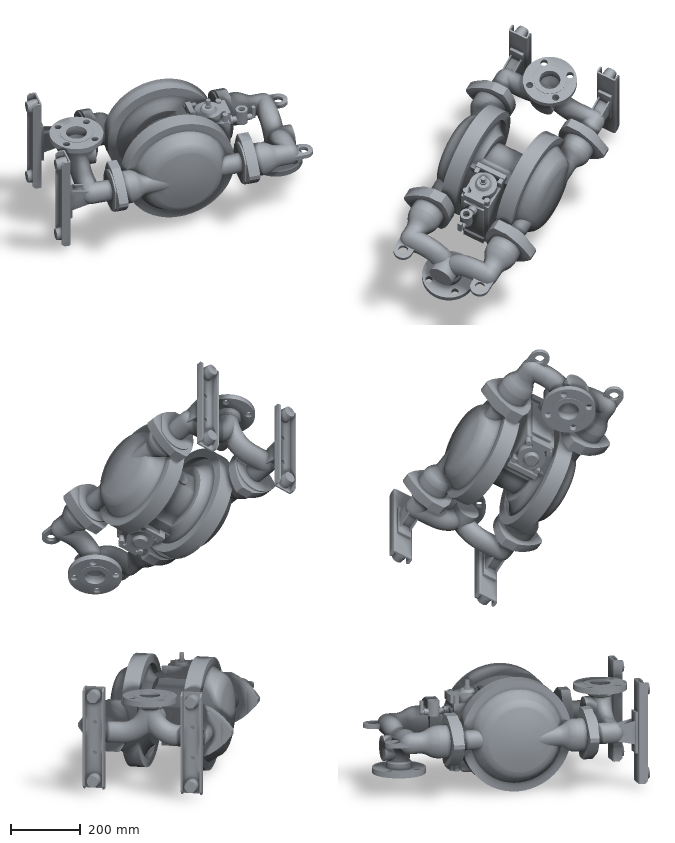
import cadquery as cq
import math


CHAMBER_R = 163.13
RIM_INNER_X = 66.0
RIM_OUTER_X = 113.7
DOME_BASE_R = 137.5
DOME_SHOULDER_R = 116.0
DOME_SHOULDER_X = 148.3
DOME_CAP_R = 95.0
DOME_CAP_X = 162.8
DOME_TIP_X = 176.8
DOME_ROUNDING = 1.4
BACK_R = 112.0
BACK_GROOVE_R = 137.0
BACK_GROOVE_X = 82.0
BACK_NECK_R = 97.0
BODY_HALF_X = 46.6

BODY_R = 74.3
BODY_FLAT_Y = -67.8
BODY_SIDE_Y = 32.0
PLATE_Y0 = 61.7
PLATE_Y1 = 75.8
PLATE_HALF_Z = 94.0
BODY_SIDE_Z = 90.0
PLATE_BOSS_Z = 116.3
PLUG_R = 20.6
PLUG_HEIGHT = 6.0
PLATE_POCKET = (58.0, 18.0, 6.0)
PLATE_POCKET_Z = 99.0

PIPE_R = 29.0
LEG_R = 30.5
INLET_LEG_X = 144.0
OUTLET_LEG_X = 125.4
INLET_Y = -277.0
OUTLET_Y = 319.0
INLET_PIPE_END_Y = -20.0
OUTLET_PIPE_END_Y = 60.0
BEND_R = 85.0
PORT_FLANGE_R = 77.5
PORT_FLANGE_Z0 = 97.0
PORT_FLANGE_Z1 = 113.3
PORT_FACE_R = 46.5
PORT_FACE_Z = 115.0
PORT_NECK_R = 37.0
PORT_NECK_Z = 77.0
PORT_NECK_CHAMFER = 5.0
PORT_BORE_R = 30.0
PORT_BORE_Z = 85.0
PORT_CONE_Z = 67.0
BOLT_CIRCLE_R = 60.2
BOLT_HOLE_R = 10.3
BOLT_COUNT = 4
SIDE_PORT_R = 36.5
SIDE_PORT_Z = 39.5
SIDE_PORT_LENGTH = 49.7

BELL_R = 47.5
BELL_MID_R = 37.0
BELL_STRAIGHT = 30.5
BELL_ROUNDING = 3.2
THROAT_ROUNDING = 1.2
INLET_BELL = (53.0, 70.5)
OUTLET_BELL = (59.0, 79.0)

INLET_CLAMP_X = 151.75
OUTLET_CLAMP_X = 133.4
INLET_CLAMP_Y = (-216.0, -188.2)
OUTLET_CLAMP_Y = (178.5, 210.8)
CLAMP_OUT = 74.0
CLAMP_HALF_Z = 73.5
CLAMP_TIP_HALF_Z = 6.0
CLAMP_TOP_OUT = -8.0
CLAMP_TOP_IN = -47.0
CLAMP_BULGE_OUT = 25.0
CLAMP_BULGE_Z = 55.5
GASKET_R = 61.0
GASKET_FLAT_OUT = 53.6
GASKET_THICKNESS = 4.6

LUG_Y = 364.0
LUG_R = 27.5
LUG_HOLE_R = 14.0
LUG_THICKNESS = 12.0

PAD_Y1 = -337.5
PAD_Y0 = -346.0
PAD_HALF_X = 21.0
PAD_HALF_Z = 60.0
BRACKET_TOP_Y = -288.0
BRACKET_TOP_HALF_Z = 23.0
BRACKET_FOOT_HALF_Z = 34.0
RIB_OUT_X = 18.5
RIB_THICKNESS = 4.5
BRACKET_WEB_HALF_Z = 18.0
RAIL_DEPTH = 27.0
RAIL_HALF_X = 30.6
RAIL_HALF_Z = 149.0
RAIL_WALL = 4.7
RAIL_CHAMFER = 8.5
RAIL_HOLE_R = 6.0
RAIL_HOLE_Z = 44.6
BUFFER_Z = 124.0
BUFFER_R = 19.5
BUFFER_TIP_R = 16.5
BUFFER_TAPER_Y = -362.0
BUFFER_END_Y = -382.2

VALVE_Y = 117.0
VALVE_HALF_X = 44.5
VALVE_CORE_HALF_X = 32.0
VALVE_CORE_Y = 175.0
VALVE_CORE_HALF_Z = 72.0
VALVE_WAIST_Y = 168.0
VALVE_WAIST_HALF_Z = 88.0
VALVE_POST_Y = 92.0
VALVE_END_Z = 111.5
VALVE_COVER_R = 39.5
VALVE_BOLT_R = 8.0
VALVE_BOLT_X = 35.0
VALVE_BOLT_Y = 158.0
VALVE_BRIDGE_Y = 162.0
VALVE_TAB_HALF_X = 19.0
VALVE_TAB_Y = 146.0
HUB_R0 = 24.0
HUB_R1 = 18.0
HUB_Z = 121.0
COLLAR_R = 9.0
COLLAR_Z = 127.5
PIN_R = 6.6
PIN_Z = 146.5

AIR_Z = 60.0
AIR_NECK_R0 = 14.0
AIR_NECK_R1 = 9.5
AIR_NECK_STEP_Y = 188.0
AIR_TUBE_Y = 217.0
AIR_TUBE_R = 17.5
AIR_TUBE_BORE_R = 10.0
AIR_TUBE_Z0 = 48.0
AIR_TUBE_Z1 = 92.5
AIR_TUBE_BORE_DEPTH = 25.0
COCK_R = 9.0
COCK_Y = 246.0
COCK_TIP_R = 6.5
COCK_TIP_Y = 257.0
LEVER_WIDTH = 12.0
LEVER_Y0 = 248.0
LEVER_Z1 = 92.5


def box(x, y, z):
    """Box from (low, high) pairs along X, Y and Z."""
    size = [high - low for low, high in (x, y, z)]
    return cq.Workplane("XY").box(*size, centered=False).translate((x[0], y[0], z[0]))


def cylinder_y(radius, x, z, y0, y1):
    return cq.Workplane("XZ", origin=(x, y0, z)).circle(radius).extrude(-(y1 - y0))


def cylinder_z(radius, x, y, z0, z1):
    return cq.Workplane("XY", origin=(x, y, z0)).circle(radius).extrude(z1 - z0)


def chamber():
    """One diaphragm chamber at +X: domed cover, flange rim and flared back inside the rim."""
    mid_x = (DOME_SHOULDER_X + DOME_CAP_X) / 2
    mid_r = (DOME_SHOULDER_R + DOME_CAP_R) / 2
    shoulder_mid = (mid_x + DOME_ROUNDING, mid_r + DOME_ROUNDING)
    rise = DOME_TIP_X - DOME_CAP_X
    cap_sphere_r = (DOME_CAP_R**2 + rise**2) / (2 * rise)
    half_r = DOME_CAP_R / 2
    cap_mid_x = DOME_TIP_X - cap_sphere_r + math.sqrt(cap_sphere_r**2 - half_r**2)
    return (
        cq.Workplane("XY")
        .moveTo(BODY_HALF_X, 0)
        .lineTo(BODY_HALF_X, BACK_NECK_R)
        .threePointArc((RIM_INNER_X, BACK_R), (BACK_GROOVE_X, BACK_GROOVE_R))
        .lineTo(RIM_INNER_X, BACK_GROOVE_R)
        .lineTo(RIM_INNER_X, CHAMBER_R)
        .lineTo(RIM_OUTER_X, CHAMBER_R)
        .lineTo(RIM_OUTER_X, DOME_BASE_R)
        .lineTo(DOME_SHOULDER_X, DOME_SHOULDER_R)
        .threePointArc(shoulder_mid, (DOME_CAP_X, DOME_CAP_R))
        .threePointArc((cap_mid_x, half_r), (DOME_TIP_X, 0))
        .close()
        .revolve(360, (0, 0, 0), (1, 0, 0))
    )


def bell(x, y, lengths, end_r):
    """Bell narrowing toward +Y from a clamp flange at y to a pipe of radius end_r."""
    shoulder, length = lengths
    shoulder_mid = (BELL_R - BELL_ROUNDING, y + (BELL_STRAIGHT + shoulder) / 2)
    throat_mid = ((BELL_MID_R + end_r) / 2 - THROAT_ROUNDING, y + (shoulder + length) / 2)
    return (
        cq.Workplane("XY")
        .moveTo(0, y)
        .lineTo(BELL_R, y)
        .lineTo(BELL_R, y + BELL_STRAIGHT)
        .threePointArc(shoulder_mid, (BELL_MID_R, y + shoulder))
        .threePointArc(throat_mid, (end_r, y + length))
        .lineTo(0, y + length)
        .close()
        .revolve(360, (0, 0, 0), (0, 1, 0))
        .translate((x, 0, 0))
    )


def clamp_flange(x, y_span):
    """Clamp flange at +X: blunt outward nose, short flat top and rounded inner side."""
    y0, y1 = y_span
    return (
        cq.Workplane("XZ", origin=(x, y0, 0))
        .moveTo(CLAMP_OUT, -CLAMP_TIP_HALF_Z)
        .lineTo(CLAMP_OUT, CLAMP_TIP_HALF_Z)
        .threePointArc((CLAMP_BULGE_OUT, CLAMP_BULGE_Z), (CLAMP_TOP_OUT, CLAMP_HALF_Z))
        .lineTo(CLAMP_TOP_IN, CLAMP_HALF_Z)
        .threePointArc((-CLAMP_OUT, 0), (CLAMP_TOP_IN, -CLAMP_HALF_Z))
        .lineTo(CLAMP_TOP_OUT, -CLAMP_HALF_Z)
        .threePointArc((CLAMP_BULGE_OUT, -CLAMP_BULGE_Z), (CLAMP_OUT, -CLAMP_TIP_HALF_Z))
        .close()
        .extrude(-(y1 - y0))
    )


def gasket(x, y1):
    """Thin round plate with an outer flat, on the -Y face of a clamp flange."""
    y0 = y1 - GASKET_THICKNESS
    plate = cylinder_y(GASKET_R, x, 0, y0, y1)
    return plate.intersect(box((x - GASKET_R, x + GASKET_FLAT_OUT), (y0, y1), (-GASKET_R, GASKET_R)))


def outlet_leg():
    x = OUTLET_LEG_X
    bell_y = OUTLET_CLAMP_Y[1]
    leg = cylinder_y(PIPE_R, x, 0, OUTLET_PIPE_END_Y, OUTLET_CLAMP_Y[1])
    leg = leg.union(clamp_flange(OUTLET_CLAMP_X, OUTLET_CLAMP_Y))
    leg = leg.union(gasket(x, OUTLET_CLAMP_Y[0]))
    leg = leg.union(bell(x, bell_y, OUTLET_BELL, LEG_R))
    return leg.union(cylinder_y(LEG_R, x, 0, bell_y, OUTLET_Y))


def inlet_leg():
    x = INLET_LEG_X
    bell_y = INLET_CLAMP_Y[1]
    leg = cylinder_y(PIPE_R, x, 0, bell_y, INLET_PIPE_END_Y)
    leg = leg.union(clamp_flange(INLET_CLAMP_X, INLET_CLAMP_Y))
    leg = leg.union(bell(x, bell_y, INLET_BELL, PIPE_R))
    leg = leg.union(gasket(x, INLET_CLAMP_Y[0]))
    return leg.union(cylinder_y(LEG_R, x, 0, INLET_Y, INLET_CLAMP_Y[0]))


def manifold_arm(leg_x, y, z_side):
    """Pipe from a ball corner on a leg to a bend that ends at X = 0 facing z_side."""
    arm = cq.Workplane("YZ", origin=(BEND_R, 0, 0)).circle(LEG_R).extrude(leg_x - BEND_R)
    bend = cq.Workplane("YZ", origin=(BEND_R, 0, 0)).circle(LEG_R)
    bend = bend.revolve(90, (0, BEND_R, 0), (1, BEND_R, 0))
    bend = bend.intersect(box((0, BEND_R), (-LEG_R, LEG_R), (-LEG_R, BEND_R)))
    corner = cq.Workplane("XY").sphere(LEG_R).translate((leg_x, 0, 0))
    arm = arm.union(bend).union(corner)
    if z_side < 0:
        arm = arm.mirror("XY")
    return arm.translate((0, y, 0))


def port(y, z_side):
    """Flanged port of a manifold, facing z_side, with its plugged side port."""
    profile = [
        (0, PORT_NECK_Z),
        (PORT_NECK_R - PORT_NECK_CHAMFER, PORT_NECK_Z),
        (PORT_NECK_R, PORT_NECK_Z + PORT_NECK_CHAMFER),
        (PORT_NECK_R, PORT_FLANGE_Z0),
        (PORT_FLANGE_R, PORT_FLANGE_Z0),
        (PORT_FLANGE_R, PORT_FLANGE_Z1),
        (PORT_FACE_R, PORT_FLANGE_Z1),
        (PORT_FACE_R, PORT_FACE_Z),
        (0, PORT_FACE_Z),
    ]
    flange = cq.Workplane("XZ").polyline(profile).close().revolve(360, (0, 0, 0), (0, 1, 0))
    hole_angle = 360 / BOLT_COUNT
    for i in range(BOLT_COUNT):
        angle = math.radians(hole_angle * (i + 0.5))
        x = BOLT_CIRCLE_R * math.cos(angle)
        flange = flange.cut(
            cylinder_z(BOLT_HOLE_R, x, BOLT_CIRCLE_R * math.sin(angle), PORT_FLANGE_Z0, PORT_FACE_Z)
        )
    if z_side < 0:
        flange = flange.mirror("XY")
    side_port = cylinder_y(SIDE_PORT_R, 0, z_side * SIDE_PORT_Z, y, y + SIDE_PORT_LENGTH)
    return flange.translate((0, y, 0)).union(side_port)


def port_bore(y, z_side):
    """Blind bore with a conical end."""
    profile = [(0, PORT_CONE_Z), (PORT_BORE_R, PORT_BORE_Z), (PORT_BORE_R, PORT_FACE_Z), (0, PORT_FACE_Z)]
    bore = cq.Workplane("XZ").polyline(profile).close().revolve(360, (0, 0, 0), (0, 1, 0))
    if z_side < 0:
        bore = bore.mirror("XY")
    return bore.translate((0, y, 0))


def lifting_lug():
    x = OUTLET_LEG_X
    half = LUG_THICKNESS / 2
    lug = box((x - LUG_R, x + LUG_R), (OUTLET_Y, LUG_Y), (-half, half))
    lug = lug.union(cylinder_z(LUG_R, x, LUG_Y, -half, half))
    return lug.cut(cylinder_z(LUG_HOLE_R, x, LUG_Y, -half, half))


def foot_bracket():
    """Two tapered ribs joined by a web, standing on a pad."""
    x = INLET_LEG_X
    outline = [
        (BRACKET_TOP_Y, BRACKET_TOP_HALF_Z),
        (PAD_Y1, BRACKET_FOOT_HALF_Z),
        (PAD_Y1, -BRACKET_FOOT_HALF_Z),
        (BRACKET_TOP_Y, -BRACKET_TOP_HALF_Z),
    ]
    bracket = box((x - PAD_HALF_X, x + PAD_HALF_X), (PAD_Y0, PAD_Y1), (-PAD_HALF_Z, PAD_HALF_Z))
    for rib_x in (x - RIB_OUT_X, x + RIB_OUT_X - RIB_THICKNESS):
        rib = cq.Workplane("YZ", origin=(rib_x, 0, 0)).polyline(outline).close().extrude(RIB_THICKNESS)
        bracket = bracket.union(rib)
    web_z = (-BRACKET_WEB_HALF_Z, BRACKET_WEB_HALF_Z)
    return bracket.union(box((x - RIB_OUT_X, x + RIB_OUT_X), (PAD_Y1, BRACKET_TOP_Y), web_z))


def foot_rail():
    """Channel open toward -Y, with chamfered side walls and two fixing holes."""
    x = INLET_LEG_X
    end_y = PAD_Y0 - RAIL_DEPTH
    rail = box((x - RAIL_HALF_X, x + RAIL_HALF_X), (end_y, PAD_Y0), (-RAIL_HALF_Z, RAIL_HALF_Z))
    rail = rail.faces("<Y").edges("|X").chamfer(RAIL_CHAMFER)
    rail = rail.faces(">Y").edges("|Z").fillet(RAIL_WALL)
    inner = RAIL_HALF_X - RAIL_WALL
    rail = rail.cut(box((x - inner, x + inner), (end_y, PAD_Y0 - RAIL_WALL), (-RAIL_HALF_Z, RAIL_HALF_Z)))
    for z in (-RAIL_HOLE_Z, RAIL_HOLE_Z):
        rail = rail.cut(cylinder_y(RAIL_HOLE_R, x, z, PAD_Y0 - RAIL_WALL, PAD_Y0))
    return rail


def foot_buffer(z):
    """Rubber buffer: a short cylinder with a tapered end."""
    profile = [
        (0, PAD_Y0 - RAIL_WALL),
        (BUFFER_R, PAD_Y0 - RAIL_WALL),
        (BUFFER_R, BUFFER_TAPER_Y),
        (BUFFER_TIP_R, BUFFER_END_Y),
        (0, BUFFER_END_Y),
    ]
    buffer = cq.Workplane("XY").polyline(profile).close().revolve(360, (0, 0, 0), (0, 1, 0))
    return buffer.translate((INLET_LEG_X, 0, z))


def centre_body():
    """Rounded body between the chambers, widening into the air valve plate."""
    flat_z = math.sqrt(BODY_R**2 - BODY_FLAT_Y**2)
    side_rise = BODY_SIDE_Z - BODY_R
    side_arc_r = (BODY_SIDE_Y**2 + side_rise**2) / (2 * side_rise)
    side_mid_y = BODY_SIDE_Y / 2
    side_mid_z = BODY_R + side_arc_r - math.sqrt(side_arc_r**2 - side_mid_y**2)
    mid_angle = math.atan2(BODY_FLAT_Y, flat_z) / 2
    arc_mid = (BODY_R * math.sin(mid_angle), BODY_R * math.cos(mid_angle))
    half = (
        cq.Workplane("YZ", origin=(-RIM_INNER_X, 0, 0))
        .moveTo(BODY_FLAT_Y, 0)
        .lineTo(BODY_FLAT_Y, flat_z)
        .threePointArc(arc_mid, (0, BODY_R))
        .threePointArc((side_mid_y, side_mid_z), (BODY_SIDE_Y, BODY_SIDE_Z))
        .lineTo(PLATE_Y1, BODY_SIDE_Z)
        .lineTo(PLATE_Y1, 0)
        .close()
        .extrude(2 * RIM_INNER_X)
    )
    body = half.union(half.mirror("XY"))
    plate_y = (PLATE_Y0, PLATE_Y1)
    body = body.union(box((-RIM_INNER_X, RIM_INNER_X), plate_y, (-PLATE_HALF_Z, PLATE_HALF_Z)))
    body = body.union(box((-BODY_HALF_X, BODY_HALF_X), plate_y, (-PLATE_BOSS_Z, PLATE_BOSS_Z)))
    pocket_x, pocket_z, pocket_depth = PLATE_POCKET
    for z in (-PLATE_POCKET_Z, PLATE_POCKET_Z):
        span_z = (z - pocket_z / 2, z + pocket_z / 2)
        span_x = (-pocket_x / 2, pocket_x / 2)
        body = body.cut(box(span_x, (PLATE_Y0, PLATE_Y0 + pocket_depth), span_z))
    return body.union(cylinder_y(PLUG_R, 0, 0, BODY_FLAT_Y - PLUG_HEIGHT, BODY_FLAT_Y))


def valve_end():
    """Upper end of the air valve: bolts, corner posts, round cover and conical hub."""
    low = VALVE_WAIST_HALF_Z
    top = (low, VALVE_END_Z)
    end = cylinder_z(VALVE_COVER_R, 0, VALVE_Y, low, VALVE_END_Z)
    for x in ((-VALVE_HALF_X, -VALVE_CORE_HALF_X), (VALVE_CORE_HALF_X, VALVE_HALF_X)):
        end = end.union(box(x, (PLATE_Y1, VALVE_POST_Y), top))
    core_x = (-VALVE_CORE_HALF_X, VALVE_CORE_HALF_X)
    end = end.union(box(core_x, (VALVE_BRIDGE_Y, VALVE_CORE_Y), top))
    tab_x = (-VALVE_TAB_HALF_X, VALVE_TAB_HALF_X)
    end = end.union(box(tab_x, (VALVE_TAB_Y, VALVE_CORE_Y), top))
    for x in (-VALVE_BOLT_X, VALVE_BOLT_X):
        end = end.union(cylinder_z(VALVE_BOLT_R, x, VALVE_BOLT_Y, low, VALVE_END_Z))
    hub = (
        cq.Workplane("XZ")
        .polyline([(0, low), (HUB_R0, low), (HUB_R0, VALVE_END_Z), (HUB_R1, HUB_Z), (0, HUB_Z)])
        .close()
        .revolve(360, (0, 0, 0), (0, 1, 0))
        .translate((0, VALVE_Y, 0))
    )
    return end.union(hub)


def air_valve():
    core_x = (-VALVE_CORE_HALF_X, VALVE_CORE_HALF_X)
    core_z = (-VALVE_CORE_HALF_Z, VALVE_CORE_HALF_Z)
    valve = box(core_x, (PLATE_Y1, VALVE_CORE_Y), core_z)
    waist_x = (-VALVE_HALF_X, VALVE_HALF_X)
    waist_z = (-VALVE_WAIST_HALF_Z, VALVE_WAIST_HALF_Z)
    valve = valve.union(box(waist_x, (PLATE_Y1, VALVE_WAIST_Y), waist_z))
    end = valve_end()
    valve = valve.union(end).union(end.mirror("XY"))
    valve = valve.union(cylinder_z(COLLAR_R, 0, VALVE_Y, VALVE_END_Z, COLLAR_Z))
    return valve.union(cylinder_z(PIN_R, 0, VALVE_Y, VALVE_END_Z, PIN_Z))


def air_inlet():
    """Elbow on the air valve with an open upright tube and a small lever cock."""
    inlet = cylinder_y(AIR_NECK_R0, 0, AIR_Z, VALVE_WAIST_Y, AIR_NECK_STEP_Y)
    inlet = inlet.union(cylinder_y(AIR_NECK_R1, 0, AIR_Z, AIR_NECK_STEP_Y, AIR_TUBE_Y))
    inlet = inlet.union(cylinder_z(AIR_TUBE_R, 0, AIR_TUBE_Y, AIR_TUBE_Z0, AIR_TUBE_Z1))
    inlet = inlet.union(cylinder_y(COCK_R, 0, AIR_Z, AIR_TUBE_Y, COCK_Y))
    inlet = inlet.union(cylinder_y(COCK_TIP_R, 0, AIR_Z, AIR_TUBE_Y, COCK_TIP_Y))
    lever_x = (-LEVER_WIDTH / 2, LEVER_WIDTH / 2)
    inlet = inlet.union(box(lever_x, (LEVER_Y0, COCK_TIP_Y), (AIR_Z, LEVER_Z1)))
    bore_z0 = AIR_TUBE_Z1 - AIR_TUBE_BORE_DEPTH
    return inlet.cut(cylinder_z(AIR_TUBE_BORE_R, 0, AIR_TUBE_Y, bore_z0, AIR_TUBE_Z1))


def side_assembly():
    """Everything at +X that repeats mirrored at -X."""
    side = chamber().union(outlet_leg()).union(inlet_leg())
    side = side.union(manifold_arm(OUTLET_LEG_X, OUTLET_Y, -1))
    side = side.union(manifold_arm(INLET_LEG_X, INLET_Y, 1))
    side = side.union(lifting_lug()).union(foot_bracket()).union(foot_rail())
    for z in (-BUFFER_Z, BUFFER_Z):
        side = side.union(foot_buffer(z))
    return side


right_side = side_assembly()
pump = centre_body().union(air_valve()).union(air_inlet())
pump = pump.union(right_side).union(right_side.mirror("YZ"))
for port_y, port_side in ((INLET_Y, 1), (OUTLET_Y, -1)):
    pump = pump.union(port(port_y, port_side))
    pump = pump.cut(port_bore(port_y, port_side))
result = pump